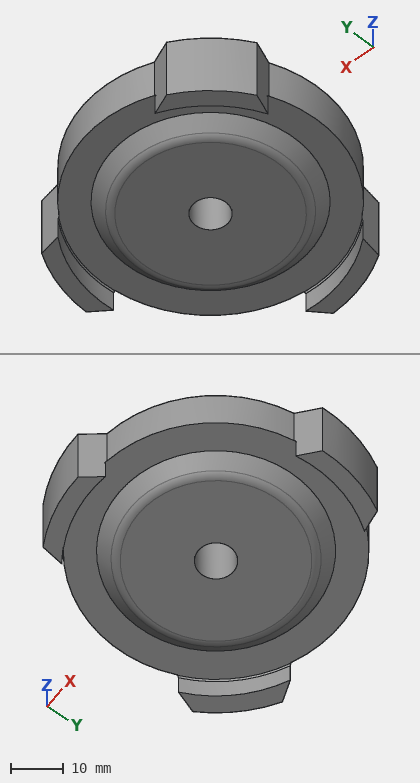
import cadquery as cq
import math

disc_radius = 29.0
disc_thickness = 9.5
bore_diameter = 8.2

lug_count = 3
lug_outer_radius = 33.1
lug_height = 15.0
lug_centre_angle = 15
lug_tip_half_angle = 15
lug_root_half_angle = 22
lug_inner_radius = 29.25
root_chamfer_height = 0.5
root_chamfer_width = 0.2

boss_height = 3.5
boss_base_radius = 22.7
boss_edge_radius = 2.5
boss_taper_angle = 45

disc_bottom = lug_height - disc_thickness
boss_bottom = disc_bottom - boss_height


def polar(radius, degrees):
    angle = math.radians(degrees)
    return radius * math.cos(angle), radius * math.sin(angle)


def make_lug(centre_angle):
    """Full-height wedge whose flanks narrow toward the outer arc."""
    return (
        cq.Workplane("XY")
        .moveTo(0, 0)
        .lineTo(*polar(disc_radius, centre_angle - lug_root_half_angle))
        .lineTo(*polar(lug_outer_radius, centre_angle - lug_tip_half_angle))
        .threePointArc(
            polar(lug_outer_radius, centre_angle),
            polar(lug_outer_radius, centre_angle + lug_tip_half_angle),
        )
        .lineTo(*polar(disc_radius, centre_angle + lug_root_half_angle))
        .close()
        .extrude(lug_height)
    )


def make_clearance():
    """Space inside the lugs, chamfered where they join the disc."""
    return (
        cq.Workplane("XY")
        .circle(lug_inner_radius)
        .extrude(disc_bottom)
        .faces(">Z")
        .edges()
        .chamfer(root_chamfer_height, root_chamfer_width)
    )


def make_boss():
    """Revolved cone with a rounded lower edge, tangent to cone and bottom face."""
    taper = math.radians(boss_taper_angle)
    round_height = boss_edge_radius * (1 - math.cos(taper))
    round_width = boss_edge_radius * math.sin(taper)
    round_top = boss_bottom + round_height
    round_outer = boss_base_radius - (boss_height - round_height) / math.tan(taper)
    round_inner = round_outer - round_width
    arc_middle = (
        round_inner + boss_edge_radius * math.sin(taper / 2),
        boss_bottom + boss_edge_radius * (1 - math.cos(taper / 2)),
    )
    return (
        cq.Workplane("XZ")
        .moveTo(0, disc_bottom)
        .lineTo(boss_base_radius, disc_bottom)
        .lineTo(round_outer, round_top)
        .threePointArc(arc_middle, (round_inner, boss_bottom))
        .lineTo(0, boss_bottom)
        .close()
        .revolve(360, (0, 0, 0), (0, 1, 0))
    )


lugs = cq.Workplane("XY")
for index in range(lug_count):
    lugs = lugs.add(make_lug(lug_centre_angle + index * 360 / lug_count))
lugs = lugs.combine().cut(make_clearance())

disc = cq.Workplane("XY").workplane(offset=disc_bottom).circle(disc_radius).extrude(disc_thickness)
bore = cq.Workplane("XY").circle(bore_diameter / 2).extrude(lug_height)

result = disc.union(lugs).union(make_boss()).cut(bore)